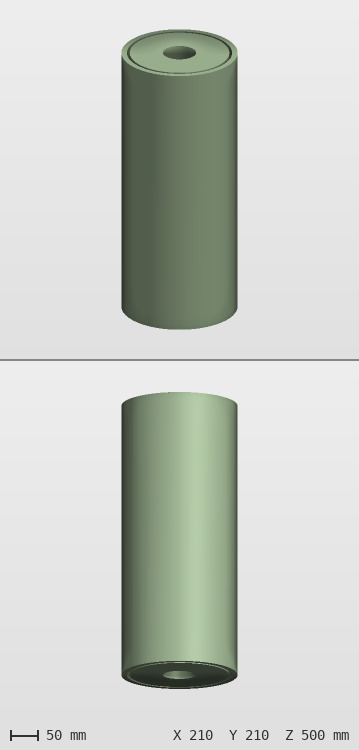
import cadquery as cq

length = 500.0
sleeve_outer_diameter = 210.0
sleeve_wall = 10.0
radial_gap = 5.0
bore_diameter = 60.0

sleeve_inner_diameter = sleeve_outer_diameter - 2 * sleeve_wall
core_diameter = sleeve_inner_diameter - 2 * radial_gap


def make_tube(outer_diameter, inner_diameter):
    """Full-length tube standing on the XY plane, centred on the Z axis."""
    return (
        cq.Workplane("XY")
        .circle(outer_diameter / 2)
        .circle(inner_diameter / 2)
        .extrude(length)
    )


def make_sleeve():
    """Thin outer sleeve, open at both ends."""
    return make_tube(sleeve_outer_diameter, sleeve_inner_diameter)


def make_core():
    """Thick inner core with a through bore, clear of the sleeve all round."""
    return make_tube(core_diameter, bore_diameter)


sleeve = make_sleeve()
core = make_core()

result = cq.Compound.makeCompound([sleeve.val(), core.val()])